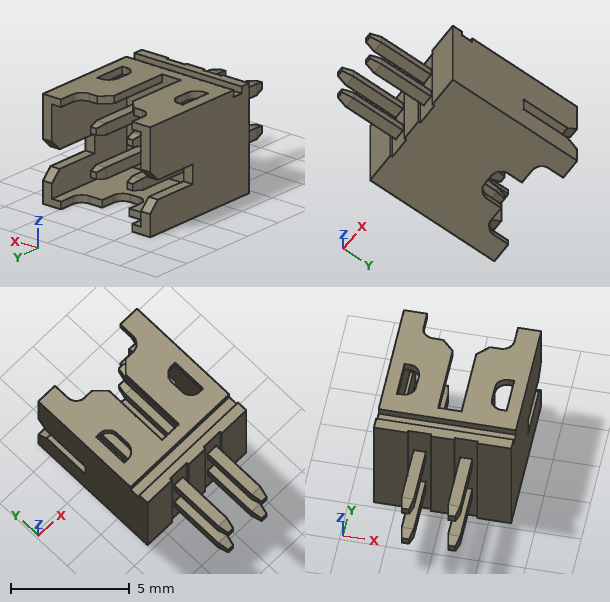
import cadquery as cq

WIDTH = 5.9
DEPTH = 6.5
HEIGHT = 5.0
OVERALL_LENGTH = 9.5
CORNER = 0.5

SIDE_WALL = 0.5
PLATE = 0.35
CAVITY_DEPTH = 4.92
CAVITY_WIDTH = WIDTH - 2 * SIDE_WALL

MOUTH_CUT_WIDTH = 3.9
MOUTH_CUT_DEPTH = 1.26
KEY_SLOT_WIDTH = 1.01
BOTTOM_NOTCH_WIDTH = 1.48
BOTTOM_NOTCH_DEPTH = 2.5

WINDOW_OUTER_X = 2.36
WINDOW_WIDTH = 0.72
WINDOW_LENGTH = 1.65
WINDOW_RECESS = 3.69
WINDOW_CENTER_Y = DEPTH - WINDOW_RECESS

SIDE_SLOT_DEPTH = 2.79
SIDE_SLOT_SILL = 1.56
SIDE_SLOT_BOTTOM = -HEIGHT / 2 + SIDE_SLOT_SILL
SIDE_SLOT_HEIGHT = 0.89

GROOVE_Y = 0.49
GROOVE_WIDTH = 0.52
GROOVE_DEPTH = 0.31

PITCH = 1.995
PIN_SIZE = 0.52
PIN_TIP_SIZE = 0.3
PIN_TIP_LENGTH = 0.5
PIN_RECESS = 1.0
PIN_BACK_Y = DEPTH - OVERALL_LENGTH
PIN_FRONT_Y = DEPTH - PIN_RECESS
CHANNEL_WIDTH = 0.99
CHANNEL_DEPTH = 0.1

PIN_OFFSETS = (-PITCH / 2, PITCH / 2)


def box(width, y_start, y_end, z_bottom, z_top, x_center=0):
    """Box centred on x_center between the given Y and Z limits."""
    return (
        cq.Workplane("XY", origin=(x_center, y_start, z_bottom))
        .box(width, y_end - y_start, z_top - z_bottom, centered=(True, False, False))
    )


def mouth_cut(z_bottom, z_top):
    """Wide cutout at the mouth, with its two inner corners rounded."""
    cut = box(MOUTH_CUT_WIDTH, DEPTH - MOUTH_CUT_DEPTH, DEPTH, z_bottom, z_top)
    return cut.edges("|Z and <Y").fillet(CORNER)


def key_slot():
    """Slot in the top wall, flared where it meets the mouth cutout."""
    half = KEY_SLOT_WIDTH / 2
    flare_y = DEPTH - MOUTH_CUT_DEPTH
    return (
        cq.Workplane("XY", origin=(0, 0, HEIGHT / 2 - PLATE))
        .moveTo(-half, DEPTH - CAVITY_DEPTH)
        .lineTo(half, DEPTH - CAVITY_DEPTH)
        .lineTo(half, flare_y - CORNER)
        .lineTo(half + CORNER, flare_y)
        .lineTo(-half - CORNER, flare_y)
        .lineTo(-half, flare_y - CORNER)
        .close()
        .extrude(PLATE)
    )


def bottom_notch():
    """Round-cornered notch in the bottom wall, continuing its mouth cutout."""
    notch = box(
        BOTTOM_NOTCH_WIDTH,
        DEPTH - BOTTOM_NOTCH_DEPTH,
        DEPTH - MOUTH_CUT_DEPTH,
        -HEIGHT / 2,
        -HEIGHT / 2 + PLATE,
    )
    return notch.edges("|Z and <Y").fillet(CORNER)


def window(side):
    """D-shaped window with its straight edge outwards; side is -1 or 1."""
    opening = box(
        WINDOW_WIDTH,
        WINDOW_CENTER_Y - WINDOW_LENGTH / 2,
        WINDOW_CENTER_Y + WINDOW_LENGTH / 2,
        HEIGHT / 2 - PLATE,
        HEIGHT / 2,
        side * (WINDOW_OUTER_X - WINDOW_WIDTH / 2),
    )
    inner_edges = "|Z and <X" if side > 0 else "|Z and >X"
    return opening.edges(inner_edges).fillet(CORNER)


def side_slots():
    """Slot through both side walls, bevelled open at the mouth."""
    bottom = SIDE_SLOT_BOTTOM
    top = bottom + SIDE_SLOT_HEIGHT
    return (
        cq.Workplane("YZ", origin=(-WIDTH / 2, 0, 0))
        .moveTo(DEPTH - SIDE_SLOT_DEPTH, bottom)
        .lineTo(DEPTH - CORNER, bottom)
        .lineTo(DEPTH, bottom - CORNER)
        .lineTo(DEPTH, top + CORNER)
        .lineTo(DEPTH - CORNER, top)
        .lineTo(DEPTH - SIDE_SLOT_DEPTH, top)
        .close()
        .extrude(WIDTH)
    )


def make_pin(x, z):
    """Square pin along Y, tapered at both ends."""
    shank_start = PIN_BACK_Y + PIN_TIP_LENGTH
    shank_end = PIN_FRONT_Y - PIN_TIP_LENGTH
    pin = (
        cq.Workplane("XZ", origin=(x, shank_start, z))
        .rect(PIN_SIZE, PIN_SIZE)
        .extrude(shank_start - shank_end)
    )
    for base_y, direction in ((shank_start, 1), (shank_end, -1)):
        tip = (
            cq.Workplane("XZ", origin=(x, base_y, z))
            .rect(PIN_SIZE, PIN_SIZE)
            .workplane(offset=direction * PIN_TIP_LENGTH)
            .rect(PIN_TIP_SIZE, PIN_TIP_SIZE)
            .loft()
        )
        pin = pin.union(tip)
    return pin


def make_housing():
    """Open-mouthed shroud with its cutouts and pin holes."""
    top = HEIGHT / 2
    body = box(WIDTH, 0, DEPTH, -top, top)
    body = body.cut(box(CAVITY_WIDTH, DEPTH - CAVITY_DEPTH, DEPTH, -top + PLATE, top - PLATE))

    body = body.cut(mouth_cut(-top, top))
    body = body.cut(key_slot())
    body = body.cut(bottom_notch())
    for side in (-1, 1):
        body = body.cut(window(side))

    body = body.cut(side_slots())
    body = body.cut(box(WIDTH, GROOVE_Y, GROOVE_Y + GROOVE_WIDTH, top - GROOVE_DEPTH, top))

    for x in PIN_OFFSETS:
        body = body.cut(box(CHANNEL_WIDTH, 0, CHANNEL_DEPTH, -top, top, x))
        for z in PIN_OFFSETS:
            body = body.cut(box(PIN_SIZE, 0, DEPTH - CAVITY_DEPTH, z - PIN_SIZE / 2, z + PIN_SIZE / 2, x))
    return body


housing = make_housing()
pins = [make_pin(x, z) for x in PIN_OFFSETS for z in PIN_OFFSETS]

result = cq.Compound.makeCompound([housing.val(), *[pin.val() for pin in pins]])